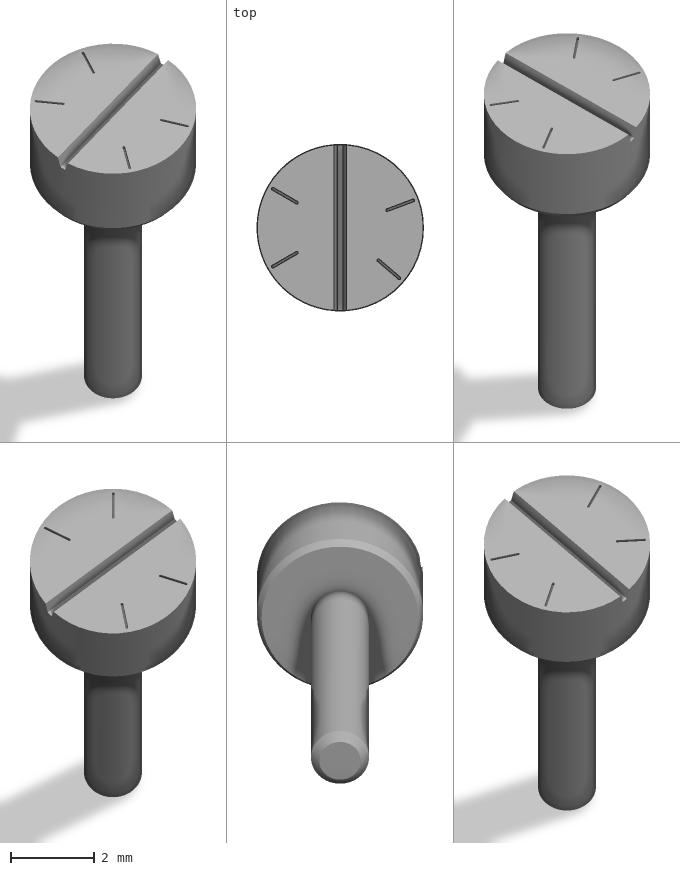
import cadquery as cq

total_length = 10.5

head_diameter = 4.0
head_height = 2.3
head_chamfer_height = 0.2
head_chamfer_width = 0.12

pin_diameter = 1.4
pin_tip_chamfer = 0.2

slot_top_width = 0.3
slot_floor_width = 0.14
slot_depth = 0.3

mark_inner_radius = 1.18
mark_outer_radius = 1.9
mark_width = 0.06
mark_depth = 0.1
mark_angles = (20.5, 150, 210, 319.5)


def turned_body():
    """Head and pin, revolved about Z with the pin tip at Z = 0."""
    head_radius = head_diameter / 2
    pin_radius = pin_diameter / 2
    head_bottom = total_length - head_height
    return (
        cq.Workplane("XZ")
        .moveTo(0, 0)
        .lineTo(pin_radius - pin_tip_chamfer, 0)
        .lineTo(pin_radius, pin_tip_chamfer)
        .lineTo(pin_radius, head_bottom)
        .lineTo(head_radius - head_chamfer_width, head_bottom)
        .lineTo(head_radius, head_bottom + head_chamfer_height)
        .lineTo(head_radius, total_length)
        .lineTo(0, total_length)
        .close()
        .revolve(360, (0, 0, 0), (0, 1, 0))
    )


def slot_cutter():
    """Trapezoidal bar along Y, narrowing towards the slot floor."""
    slot_floor = total_length - slot_depth
    return (
        cq.Workplane("XZ")
        .moveTo(-slot_top_width / 2, total_length)
        .lineTo(-slot_floor_width / 2, slot_floor)
        .lineTo(slot_floor_width / 2, slot_floor)
        .lineTo(slot_top_width / 2, total_length)
        .close()
        .extrude(head_diameter / 2, both=True)
    )


def mark_cutter(angle):
    """Round-ended groove pointing at the head axis, turned to the given angle."""
    return (
        cq.Workplane("XY", origin=(0, 0, total_length))
        .center((mark_inner_radius + mark_outer_radius) / 2, 0)
        .slot2D(mark_outer_radius - mark_inner_radius, mark_width)
        .extrude(-mark_depth)
        .rotate((0, 0, 0), (0, 0, 1), angle)
    )


result = turned_body().cut(slot_cutter())
for mark_angle in mark_angles:
    result = result.cut(mark_cutter(mark_angle))